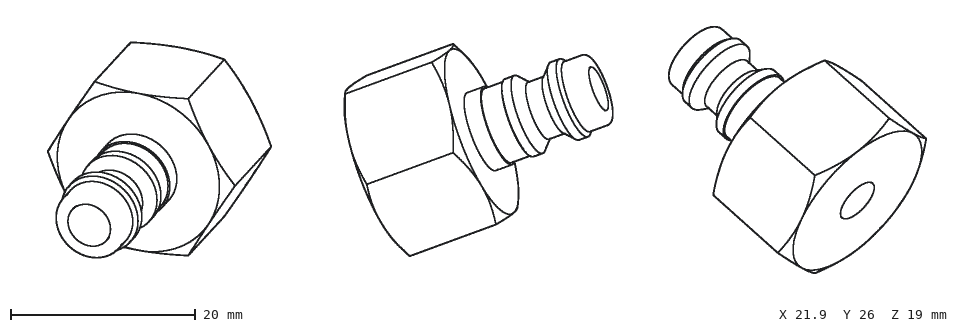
import cadquery as cq
import math

total_length = 26.0
across_flats = 19.0
hex_length = 12.0
bore_diameter = 5.0
hex_chamfer_angle = 30.0

collar_diameter = 9.0
relief_diameter = 8.58
neck_diameter = 6.6
tip_diameter = 8.1
tip_fillet = 0.5

shoulder_length = 1.98
relief_length = 2.52
rear_collar_length = 1.12
neck_length = 1.95
front_collar_length = 1.07
tip_taper_length = 0.42
cone_length = (collar_diameter - neck_diameter) / 2

across_corners = across_flats / math.cos(math.radians(30))
hex_back = total_length / 2
hex_front = hex_back - hex_length
tip_end = hex_back - total_length


def revolve_about_y(profile):
    """Turn a closed (radius, y) profile into a solid of revolution about Y."""
    return cq.Workplane("XY").polyline(profile).close().revolve(360, (0, 0), (0, 1))


def make_hexagon():
    """Hexagon with corners on X, its ends turned down to the across-flats circle."""
    prism = (
        cq.Workplane("XZ", origin=(0, hex_back, 0))
        .polygon(6, across_corners)
        .extrude(hex_length)
    )
    flat_radius = across_flats / 2
    corner_radius = across_corners / 2
    chamfer_depth = (corner_radius - flat_radius) * math.tan(math.radians(hex_chamfer_angle))
    envelope = revolve_about_y([
        (0, hex_front),
        (flat_radius, hex_front),
        (corner_radius, hex_front + chamfer_depth),
        (corner_radius, hex_back - chamfer_depth),
        (flat_radius, hex_back),
        (0, hex_back),
    ])
    return prism.intersect(envelope)


def make_plug():
    """Stepped plug: shoulder, relief, two collars around a neck, rounded tip."""
    sections = [
        (shoulder_length, collar_diameter, collar_diameter),
        (relief_length, relief_diameter, relief_diameter),
        (rear_collar_length, collar_diameter, collar_diameter),
        (cone_length, collar_diameter, neck_diameter),
        (neck_length, neck_diameter, neck_diameter),
        (cone_length, neck_diameter, collar_diameter),
        (front_collar_length, collar_diameter, collar_diameter),
        (tip_taper_length, collar_diameter, tip_diameter),
    ]
    y = hex_front
    profile = [(0, y)]
    for length, start_diameter, end_diameter in sections:
        start = (start_diameter / 2, y)
        if profile[-1] != start:
            profile.append(start)
        y -= length
        profile.append((end_diameter / 2, y))
    profile += [(tip_diameter / 2, tip_end), (0, tip_end)]
    return revolve_about_y(profile).faces("<Y").edges().fillet(tip_fillet)


bore = (
    cq.Workplane("XZ", origin=(0, hex_back, 0))
    .circle(bore_diameter / 2)
    .extrude(total_length)
)

result = make_hexagon().union(make_plug()).cut(bore)